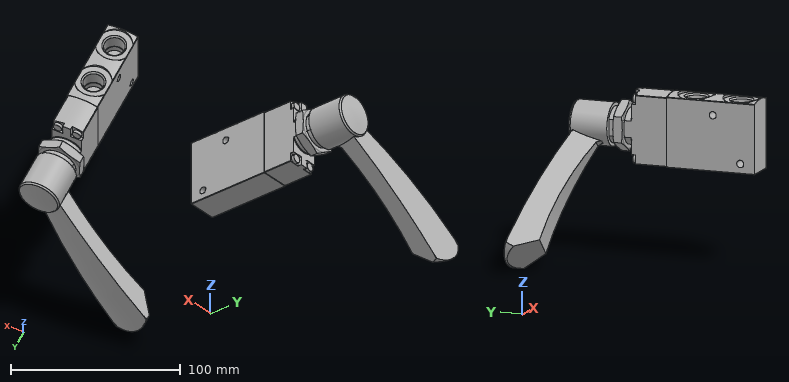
import cadquery as cq
import math


BLOCK_LENGTH = 55.3
BLOCK_WIDTH = 20.0
BLOCK_LEFT = -9.8
BLOCK_HALF_HEIGHT = 21.2
BLOCK_TOP = 22.7
EDGE_CHAMFER = 0.3

PORT_POSITIONS = (11.75, 40.2)
SPOT_FACE_DIAMETER = 22.0
PORT_MOUTH_DIAMETER = 14.6
PORT_DIAMETER = 12.6
PORT_DEPTH = 10.0
PORT_DRILL_DIAMETER = 12.02
PORT_DRILL_DEPTH = 14.0

MOUNT_HOLE_DIAMETER = 4.4
MOUNT_HOLES = ((26.2, 12.7), (8.9, -15.3))

CAP_END = 77.4
CAP_HALF_WIDTH = 9.8
CAP_HALF_HEIGHT = 20.8
NOTCH_DEPTH = 2.4
NOTCH_INNER_X = 2.6
NOTCH_INNER_Z = 15.3
SCREW_HEAD_DIAMETER = 5.4
SCREW_HEAD_HEIGHT = 2.0
SCREW_X = 6.2
SCREW_Z = 18.1
STEM_DIAMETER = 22.0
COLLAR_DIAMETER = 22.6
COLLAR_LENGTH = 0.4

NUT_START = 81.8
NUT_LENGTH = 6.0
NUT_ACROSS_FLATS = 27.0
NUT_CHAMFER_ANGLE = 15.0

HUB_START = 91.7
HUB_DIAMETER = 26.4
HUB_LENGTH = 23.0
HUB_BEVEL_LENGTH = 1.2
HUB_BEVEL_WIDTH = 0.7
HUB_DOME_HEIGHT = 1.0

ARM_ANGLE = 45.0
ARM_TIP = 101.1
ARM_TIP_CORNER = 95.85
ARM_HALF_WIDTH = 13.85
ARM_FLANK_ANGLE = 20.0
ARM_FLANK_MEET = 92.4
ARM_FRONT_RADIUS = 222.0
ARM_FRONT_CENTRE = (93.65, -108.75)
ARM_BACK_RADIUS = 467.5
ARM_BACK_CENTRE = (152.9, -331.52)
ARM_CROWN_RADIUS = 64.0
HEEL_START = (13.2, 95.9)
HEEL_END = (17.2, 99.9)
HEEL_RADIUS = 5.0
END_FACE_START = (88.5, 113.3)
END_FACE_END = (101.1, 131.8)


def y_cylinder(diameter, start, length):
    plane = cq.Plane(origin=(0, start, 0), xDir=(1, 0, 0), normal=(0, 1, 0))
    return cq.Workplane(plane).circle(diameter / 2).extrude(length)


def box_between(x_range, y_range, z_range):
    ranges = (x_range, y_range, z_range)
    size = [high - low for low, high in ranges]
    corner = tuple(low for low, high in ranges)
    return cq.Workplane("XY").box(*size, centered=False).translate(corner)


def crowned_bar(left, right, bottom, shoulder, top, start, end):
    """Bar along Y with a flat bottom and an arched top."""
    return (
        cq.Workplane("XZ", origin=(0, start, 0))
        .moveTo(left, bottom)
        .lineTo(right, bottom)
        .lineTo(right, shoulder)
        .threePointArc(((left + right) / 2, top), (left, shoulder))
        .close()
        .extrude(start - end)
        .edges("|Y")
        .chamfer(EDGE_CHAMFER)
    )


def make_block():
    right = BLOCK_LEFT + BLOCK_WIDTH
    centre = (BLOCK_LEFT + right) / 2
    block = crowned_bar(
        BLOCK_LEFT, right, -BLOCK_HALF_HEIGHT, BLOCK_HALF_HEIGHT, BLOCK_TOP, 0, BLOCK_LENGTH
    )
    mouth_chamfer = (PORT_MOUTH_DIAMETER - PORT_DIAMETER) / 2
    for y in PORT_POSITIONS:
        floor = cq.Workplane("XY", origin=(centre, y, BLOCK_HALF_HEIGHT))
        block = block.cut(floor.circle(SPOT_FACE_DIAMETER / 2).extrude(BLOCK_TOP))
        block = block.cut(floor.circle(PORT_DIAMETER / 2).extrude(-PORT_DEPTH))
        block = block.cut(floor.circle(PORT_DRILL_DIAMETER / 2).extrude(-PORT_DRILL_DEPTH))
        mouth = floor.circle(PORT_MOUTH_DIAMETER / 2).extrude(-mouth_chamfer, taper=45)
        block = block.cut(mouth)
    for y, z in MOUNT_HOLES:
        hole = (
            cq.Workplane("YZ", origin=(BLOCK_LEFT, y, z))
            .circle(MOUNT_HOLE_DIAMETER / 2)
            .extrude(BLOCK_WIDTH)
        )
        block = block.cut(hole)
    return block


def make_cap():
    cap = crowned_bar(
        -CAP_HALF_WIDTH, CAP_HALF_WIDTH, -CAP_HALF_HEIGHT, CAP_HALF_HEIGHT, BLOCK_TOP, BLOCK_LENGTH, CAP_END
    )
    notch_floor = CAP_END - NOTCH_DEPTH
    for side_x in (-1, 1):
        for side_z in (-1, 1):
            notch = box_between(
                sorted((side_x * NOTCH_INNER_X, side_x * 2 * CAP_HALF_WIDTH)),
                (notch_floor, CAP_END),
                sorted((side_z * NOTCH_INNER_Z, side_z * 2 * CAP_HALF_HEIGHT)),
            )
            head = y_cylinder(SCREW_HEAD_DIAMETER, notch_floor, SCREW_HEAD_HEIGHT)
            cap = cap.cut(notch).union(head.translate((side_x * SCREW_X, 0, side_z * SCREW_Z)))
    stem = y_cylinder(STEM_DIAMETER, CAP_END, HUB_START - CAP_END)
    collar = y_cylinder(COLLAR_DIAMETER, CAP_END, COLLAR_LENGTH)
    flats = box_between(
        (-CAP_HALF_WIDTH, CAP_HALF_WIDTH), (CAP_END, HUB_START), (-STEM_DIAMETER, STEM_DIAMETER)
    )
    return cap.union(stem.union(collar).intersect(flats))


def make_nut():
    plane = cq.Plane(origin=(0, NUT_START, 0), xDir=(0, 0, 1), normal=(0, 1, 0))
    across_corners = NUT_ACROSS_FLATS / math.cos(math.radians(30))
    hexagon = cq.Workplane(plane).polygon(6, across_corners).extrude(NUT_LENGTH)
    corner_radius = across_corners / 2
    face_radius = NUT_ACROSS_FLATS / 2
    slope = math.tan(math.radians(NUT_CHAMFER_ANGLE))
    bevel = (corner_radius - face_radius) * slope
    end = NUT_START + NUT_LENGTH
    envelope = (
        cq.Workplane("XY")
        .polyline([
            (0, NUT_START),
            (face_radius, NUT_START),
            (corner_radius, NUT_START + bevel),
            (corner_radius, end - bevel),
            (face_radius, end),
            (0, end),
        ])
        .close()
        .revolve(360, (0, 0, 0), (0, 1, 0))
    )
    return hexagon.intersect(envelope).cut(y_cylinder(STEM_DIAMETER, NUT_START, NUT_LENGTH))


def make_hub():
    radius = HUB_DIAMETER / 2
    shoulder = HUB_START + HUB_LENGTH
    rim_radius = radius - HUB_BEVEL_WIDTH
    rim = shoulder + HUB_BEVEL_LENGTH
    dome_radius = (rim_radius**2 + HUB_DOME_HEIGHT**2) / (2 * HUB_DOME_HEIGHT)
    dome_middle = rim_radius / 2
    dome_centre = rim + HUB_DOME_HEIGHT - dome_radius
    return (
        cq.Workplane("XY")
        .moveTo(0, HUB_START)
        .lineTo(radius, HUB_START)
        .lineTo(radius, shoulder)
        .lineTo(rim_radius, rim)
        .threePointArc(
            (dome_middle, dome_centre + math.sqrt(dome_radius**2 - dome_middle**2)),
            (0, rim + HUB_DOME_HEIGHT),
        )
        .close()
        .revolve(360, (0, 0, 0), (0, 1, 0))
    )


def make_arm():
    """Arm built along +X (as u) with its width along Z, then turned to its angle."""
    highest = ARM_BACK_CENTRE[1] + ARM_BACK_RADIUS + 2 * ARM_CROWN_RADIUS

    spread = (highest - ARM_FLANK_MEET) * math.tan(math.radians(ARM_FLANK_ANGLE))
    wedge = (
        cq.Workplane("YZ")
        .polyline([(ARM_FLANK_MEET, 0), (highest, -spread), (highest, spread)])
        .close()
        .extrude(ARM_TIP)
    )

    outline = (
        cq.Workplane("XZ")
        .moveTo(0, -ARM_HALF_WIDTH)
        .lineTo(ARM_TIP_CORNER, -ARM_HALF_WIDTH)
        .threePointArc((ARM_TIP, 0), (ARM_TIP_CORNER, ARM_HALF_WIDTH))
        .lineTo(0, ARM_HALF_WIDTH)
        .close()
        .extrude(-highest)
    )

    back_u, back_y = ARM_BACK_CENTRE
    crown_edge = math.sqrt(ARM_CROWN_RADIUS**2 - ARM_HALF_WIDTH**2)
    crown_height = ARM_CROWN_RADIUS - crown_edge
    ring_top = back_y + ARM_BACK_RADIUS
    ring_edge = ring_top - crown_height
    back_ring = (
        cq.Workplane("YZ", origin=(back_u, 0, 0))
        .moveTo(back_y, -ARM_HALF_WIDTH)
        .lineTo(ring_edge, -ARM_HALF_WIDTH)
        .threePointArc((ring_top, 0), (ring_edge, ARM_HALF_WIDTH))
        .lineTo(back_y, ARM_HALF_WIDTH)
        .close()
        .revolve(360, (back_y, 0, 0), (back_y, 1, 0))
    )

    front_cut = (
        cq.Workplane("XY", origin=(0, 0, -ARM_HALF_WIDTH))
        .center(*ARM_FRONT_CENTRE)
        .circle(ARM_FRONT_RADIUS)
        .extrude(2 * ARM_HALF_WIDTH)
    )

    heel = (
        cq.Workplane("XY", origin=(0, 0, -ARM_HALF_WIDTH))
        .moveTo(0, HEEL_START[1])
        .lineTo(*HEEL_START)
        .radiusArc(HEEL_END, HEEL_RADIUS)
        .lineTo(0, HEEL_END[1])
        .close()
        .extrude(2 * ARM_HALF_WIDTH)
    )
    front_cut = front_cut.cut(heel)

    run = END_FACE_END[0] - END_FACE_START[0]
    rise = END_FACE_END[1] - END_FACE_START[1]
    end_cut = (
        cq.Workplane("XY", origin=(0, 0, -ARM_HALF_WIDTH))
        .moveTo(END_FACE_START[0] - run, END_FACE_START[1] - rise)
        .lineTo(END_FACE_END[0] + run, END_FACE_END[1] + rise)
        .lineTo(END_FACE_END[0] + run, END_FACE_START[1] - rise)
        .close()
        .extrude(2 * ARM_HALF_WIDTH)
    )

    arm = wedge.intersect(outline).intersect(back_ring).cut(front_cut).cut(end_cut)
    return arm.rotate((0, 0, 0), (0, 1, 0), 180 - ARM_ANGLE)


def make_lever():
    return make_hub().union(make_arm())


block = make_block()
cap = make_cap()
nut = make_nut()
lever = make_lever()

result = cq.Compound.makeCompound([block.val(), cap.val(), nut.val(), lever.val()])